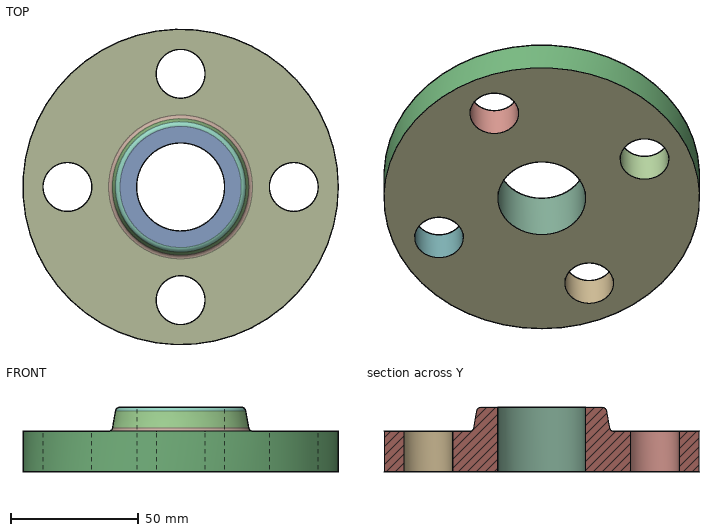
import cadquery as cq
import math

flange_diameter = 123.9
flange_thickness = 16.0

total_height = 25.4
hub_base_diameter = 54.0
hub_taper_angle = 10.0
hub_top_fillet = 1.9
hub_base_fillet = 1.5

bore_diameter = 34.5
bolt_hole_diameter = 19.1
bolt_circle_diameter = 88.9
bolt_count = 4

hub_height = total_height - flange_thickness
hub_base_radius = hub_base_diameter / 2
hub_top_radius = hub_base_radius - hub_height * math.tan(math.radians(hub_taper_angle))


def make_flanged_hub():
    """Revolve the solid profile of the disc and hub, then round the hub edges."""
    flange_radius = flange_diameter / 2
    body = (
        cq.Workplane("XZ")
        .polyline([
            (0, 0),
            (flange_radius, 0),
            (flange_radius, flange_thickness),
            (hub_base_radius, flange_thickness),
            (hub_top_radius, total_height),
            (0, total_height),
        ])
        .close()
        .revolve(360, (0, 0), (0, 1))
    )
    body = body.faces(">Z").edges().fillet(hub_top_fillet)
    disc_top = body.faces("|Z").faces(">Z[-2]")
    inner_edge = cq.selectors.RadiusNthSelector(0)
    return disc_top.edges(inner_edge).fillet(hub_base_fillet)


def cut_bore(body):
    return body.faces("<Z").workplane().circle(bore_diameter / 2).cutThruAll()


def cut_bolt_holes(body):
    return (
        body.faces("<Z")
        .workplane()
        .polarArray(bolt_circle_diameter / 2, 0, 360, bolt_count)
        .circle(bolt_hole_diameter / 2)
        .cutThruAll()
    )


result = cut_bolt_holes(cut_bore(make_flanged_hub()))